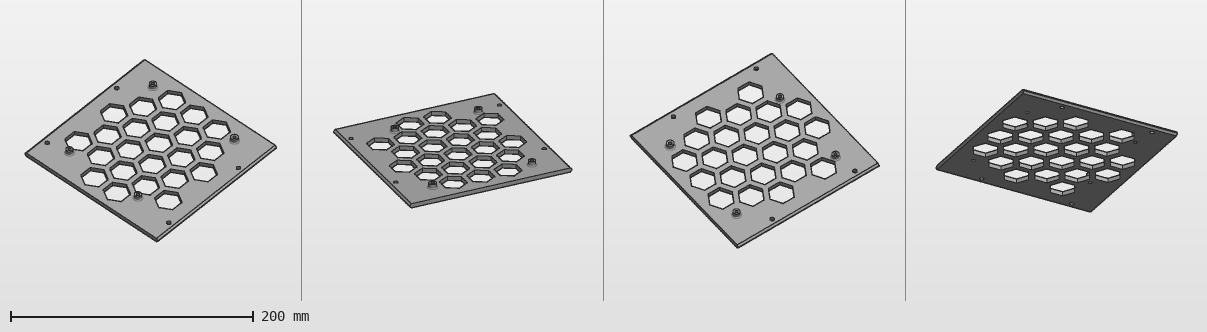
import cadquery as cq
import math

PLATE_WIDTH = 148.6
PLATE_DEPTH = 144.85
PLATE_THICKNESS = 4.0
SIDE_CHAMFER = 1.8
OVERALL_HEIGHT = 8.0

HEX_SIDES = 6
HEX_ACROSS_FLATS = 20.0
HEX_WEB = 5.0
HEX_PITCH = HEX_ACROSS_FLATS + HEX_WEB
HEX_ROW_PITCH = HEX_PITCH * math.sin(math.radians(60))
HEX_CORNER_DIAMETER = HEX_ACROSS_FLATS / math.cos(math.radians(30))
MAIN_ROW_Y = 10.0
HEX_ROWS = [(2, 3), (1, 4), (0, 5), (-1, 4), (-2, 5), (-3, 2)]

SCREW_HOLE_DIAMETER = 3.6
SCREW_HOLE_X = 67.8
SCREW_HOLE_BACK_Y = 32.8
SCREW_HOLE_SPACING_Y = 85.0

STANDOFF_BORE = 2.8
STANDOFF_DIAMETER = 6.0
WIDE_STANDOFF_DIAMETER = 6.5
FLARE_RADIUS = 1.0
STANDOFF_LEFT_X = -46.55
STANDOFF_RIGHT_X = 29.75
STANDOFF_BACK_Y = 53.6
STANDOFF_FRONT_Y = -48.2
WIDE_STANDOFF_CENTER = (44.25, 53.75)

STANDOFFS = [
    ((STANDOFF_LEFT_X, STANDOFF_BACK_Y), STANDOFF_DIAMETER),
    ((STANDOFF_LEFT_X, STANDOFF_FRONT_Y), STANDOFF_DIAMETER),
    ((STANDOFF_RIGHT_X, STANDOFF_FRONT_Y), STANDOFF_DIAMETER),
    (WIDE_STANDOFF_CENTER, WIDE_STANDOFF_DIAMETER),
]


def make_plate():
    slab = cq.Workplane("XY").box(
        PLATE_WIDTH, PLATE_DEPTH, PLATE_THICKNESS, centered=(True, True, False)
    )
    return slab.edges("|Y").chamfer(SIDE_CHAMFER)


def hex_centers():
    """Centers of all openings; every row is centered on x = 0."""
    centers = []
    for row, count in HEX_ROWS:
        first_x = -(count - 1) / 2 * HEX_PITCH
        y = MAIN_ROW_Y + row * HEX_ROW_PITCH
        centers += [(first_x + i * HEX_PITCH, y) for i in range(count)]
    return centers


def make_hex_cutters():
    """Hexagonal prisms through the plate, with corners pointing along Y."""
    corner_up = cq.Sketch().regularPolygon(HEX_CORNER_DIAMETER / 2, HEX_SIDES)
    return (
        cq.Workplane("XY")
        .pushPoints(hex_centers())
        .placeSketch(corner_up)
        .extrude(PLATE_THICKNESS)
    )


def cylinders(centers, diameter, height):
    """Equal upright cylinders standing on z = 0."""
    return cq.Workplane("XY").pushPoints(centers).circle(diameter / 2).extrude(height)


def screw_hole_centers():
    front_y = SCREW_HOLE_BACK_Y - SCREW_HOLE_SPACING_Y
    return [(x, y) for x in (-SCREW_HOLE_X, SCREW_HOLE_X) for y in (SCREW_HOLE_BACK_Y, front_y)]


def make_standoff(center, diameter):
    """Solid post rooted in the plate, with a quarter-round flare at its foot."""
    radius = diameter / 2
    flare_edge = radius + FLARE_RADIUS
    flare_top = PLATE_THICKNESS + FLARE_RADIUS
    arc_inset = FLARE_RADIUS * (1 - math.sqrt(0.5))
    arc_middle = (radius + arc_inset, PLATE_THICKNESS + arc_inset)
    profile = (
        cq.Workplane("XZ")
        .lineTo(flare_edge, 0)
        .lineTo(flare_edge, PLATE_THICKNESS)
        .threePointArc(arc_middle, (radius, flare_top))
        .lineTo(radius, OVERALL_HEIGHT)
        .lineTo(0, OVERALL_HEIGHT)
        .close()
    )
    x, y = center
    return profile.revolve(360, (0, 0, 0), (0, 1, 0)).translate((x, y, 0))


result = make_plate()
result = result.cut(make_hex_cutters())
result = result.cut(cylinders(screw_hole_centers(), SCREW_HOLE_DIAMETER, PLATE_THICKNESS))
for standoff_center, standoff_diameter in STANDOFFS:
    result = result.union(make_standoff(standoff_center, standoff_diameter))
bore_centers = [standoff_center for standoff_center, _ in STANDOFFS]
result = result.cut(cylinders(bore_centers, STANDOFF_BORE, OVERALL_HEIGHT))